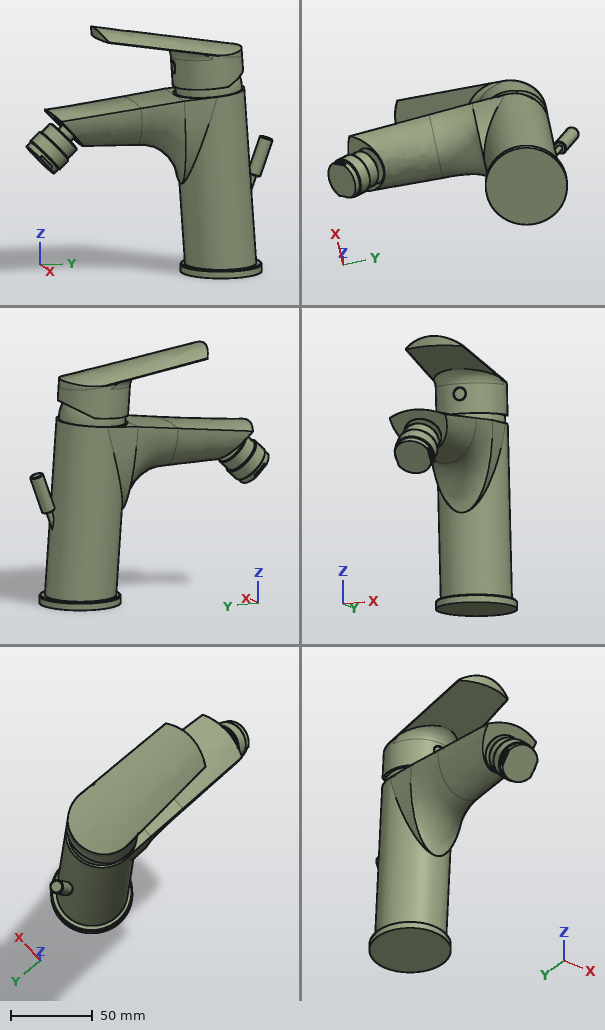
import cadquery as cq
import math

LEAN = 4.0

BASE_RADIUS = 25.0
BASE_HEIGHT = 5.0
BASE_CHAMFER = 0.8

COLUMN_RADIUS = 21.9
COLUMN_START = 2.0
COLUMN_TOP = 113.3
COLLAR_RADIUS = 20.5
DOME_CENTRE = COLUMN_TOP + 1.7
DOME_TOP = 126.0
DOME_SINK = 1.0

BLEND_START = 55.9
BLEND_END_REACH = 49.1
BLEND_END_HEIGHT = 85.3
BLEND_ANGLES = (3, 12, 25, 40, 55, 70, 90)
SPOUT_REACH = 102.8
UNDERSIDE_RISE = 6.0
SPOUT_TIP_HALF_WIDTH = 18.0
CROWN_START = 20.0
CROWN_TIP_DROP = 4.0
FLAT_CROWN = 0.02
OUTLET_FACE_ANGLE = 50.8

NOZZLE_FROM_TIP = 18.9
NECK_RADIUS = 5.4
SEAT_RADIUS = 11.7
SEAT_DEPTH = 0.6
NECK_END = 3.8
UPPER_RING_RADIUS = 11.5
UPPER_RING_END = 12.5
LOWER_RING_RADIUS = 12.5
LOWER_RING_END = 20.8
LIP_RADIUS = 11.9
LIP_END = 24.4
RING_CHAMFER = 0.6
NOTCH_WIDTH = 10.0
NOTCH_HEIGHT = 1.7
NOTCH_DEPTH = 1.2

HANDLE_BOTTOM = 118.5
HANDLE_CLEAR = 200.0
REAR_CUT_REACH = -6.7
REAR_CUT_HEIGHT = 125.3
LEVER_REACH = 70.3
LEVER_TIP_HALF_WIDTH = 18.4
LEVER_REAR_MARGIN = 0.9
LEVER_TIP_SAG = 4.0
RIDGE_AT_AXIS = 144.15
RIDGE_SLOPE = 0.25
UNDERSIDE_AT_AXIS = 139.1
UNDERSIDE_SLOPE = 0.235
LEVER_EDGE = 0.5
FLARE_START = 137.0
FLARE_RADIUS = 9.5
FLARE_RISE = 8.5
PLUG_RADIUS = 4.1
PLUG_GAP = 0.4
PLUG_HEIGHT = 130.6
PLUG_GROOVE_DEPTH = 0.6

ROD_TILT = 19.7
ROD_TOP_Y = 28.9
ROD_TOP_Z = 81.6
KNOB_RADIUS = 4.15
KNOB_LENGTH = 24.3
KNOB_CHAMFER = 0.6
ROD_RADIUS = 1.75
ROD_LENGTH = 18.0


def lean(shape):
    return shape.rotate((0, 0, 0), (1, 0, 0), LEAN)


def upright_disc(radius, bottom, top):
    return cq.Workplane("XY").workplane(offset=bottom).circle(radius).extrude(top - bottom)


def side_profile(points):
    """Outline of (reach, height) points in the plane of symmetry."""
    return cq.Workplane("YZ").polyline([(-reach, height) for reach, height in points]).close()


def spout_half_width(reach):
    return COLUMN_RADIUS + (SPOUT_TIP_HALF_WIDTH - COLUMN_RADIUS) * reach / SPOUT_REACH


def spout_section(reach, bottom):
    """Crowned top with a half-ellipse hanging below it, across the spout."""
    half_width = spout_half_width(reach)
    drop = max(CROWN_TIP_DROP * (reach - CROWN_START) / (SPOUT_REACH - CROWN_START), FLAT_CROWN)
    edge_height = COLUMN_TOP - drop
    section = cq.Workplane("XZ", origin=(0, -reach, edge_height)).moveTo(half_width, 0)
    section = section.threePointArc((0, drop), (-half_width, 0))
    section = section.ellipseArc(half_width, edge_height - bottom, 180, 360, sense=1)
    return section.wire().val()


def make_spout():
    blend_across = BLEND_END_REACH - COLUMN_RADIUS
    blend_rise = BLEND_END_HEIGHT - BLEND_START
    root = [spout_section(0, BLEND_START)]
    blend = []
    for angle in BLEND_ANGLES:
        reach = BLEND_END_REACH - blend_across * math.cos(math.radians(angle))
        bottom = BLEND_START + blend_rise * math.sin(math.radians(angle))
        blend.append(spout_section(reach, bottom))
    root.append(blend[0])
    underside_slope = math.tan(math.radians(UNDERSIDE_RISE))
    tip_bottom = BLEND_END_HEIGHT + (SPOUT_REACH - BLEND_END_REACH) * underside_slope
    tip = [blend[-1], spout_section(SPOUT_REACH, tip_bottom)]
    spout = cq.Workplane(cq.Solid.makeLoft(root, True))
    spout = spout.union(cq.Workplane(cq.Solid.makeLoft(blend, False)))
    spout = spout.union(cq.Workplane(cq.Solid.makeLoft(tip, True)))
    face_run = COLUMN_TOP / math.tan(math.radians(OUTLET_FACE_ANGLE))
    beyond_face = side_profile([
        (SPOUT_REACH, COLUMN_TOP),
        (SPOUT_REACH - face_run, 0),
        (SPOUT_REACH + face_run, 0),
        (SPOUT_REACH + face_run, COLUMN_TOP),
    ])
    return spout.cut(beyond_face.extrude(COLUMN_RADIUS, both=True))


def nozzle_plane():
    """Plane of the outlet face, with its normal along the nozzle axis and its x along X."""
    slope = math.radians(OUTLET_FACE_ANGLE)
    reach = SPOUT_REACH - NOZZLE_FROM_TIP * math.cos(slope)
    height = COLUMN_TOP - NOZZLE_FROM_TIP * math.sin(slope)
    axis = (0, -math.sin(slope), -math.cos(slope))
    return cq.Plane(origin=(0, -reach, height), xDir=(1, 0, 0), normal=axis)


def nozzle_ring(radius, start, end):
    return cq.Workplane(nozzle_plane()).workplane(offset=start).circle(radius).extrude(end - start)


def make_nozzle():
    neck = nozzle_ring(NECK_RADIUS, -SEAT_DEPTH, NECK_END)
    upper_ring = nozzle_ring(UPPER_RING_RADIUS, NECK_END, UPPER_RING_END).edges().chamfer(RING_CHAMFER)
    lower_start = UPPER_RING_END - RING_CHAMFER
    lower_ring = nozzle_ring(LOWER_RING_RADIUS, lower_start, LOWER_RING_END).edges().chamfer(RING_CHAMFER)
    lip = nozzle_ring(LIP_RADIUS, LOWER_RING_END, LIP_END)
    notches = (
        cq.Workplane(nozzle_plane()).workplane(offset=LIP_END - NOTCH_HEIGHT)
        .pushPoints([(-LIP_RADIUS, 0), (LIP_RADIUS, 0)])
        .rect(2 * NOTCH_DEPTH, NOTCH_WIDTH).extrude(NOTCH_HEIGHT)
    )
    return neck.union(upper_ring).union(lower_ring).union(lip.cut(notches))


def make_body(rod):
    column = upright_disc(COLUMN_RADIUS, COLUMN_START, COLUMN_TOP)
    spout = make_spout().cut(nozzle_ring(SEAT_RADIUS, -SEAT_DEPTH, 0))
    upper = column.union(spout).union(make_dome()).union(make_nozzle())
    base = upright_disc(BASE_RADIUS, 0, BASE_HEIGHT).faces(">Z").edges().chamfer(BASE_CHAMFER)
    return lean(upper).union(base).cut(rod)


def make_dome():
    ball = cq.Workplane("XY").sphere(COLLAR_RADIUS).translate((0, 0, DOME_CENTRE))
    return ball.intersect(upright_disc(COLUMN_RADIUS, COLUMN_TOP - DOME_SINK, DOME_TOP))


def lever_underside(reach):
    return UNDERSIDE_AT_AXIS + UNDERSIDE_SLOPE * reach


def lever_section(reach, half_width):
    ridge = RIDGE_AT_AXIS + RIDGE_SLOPE * reach
    underside = lever_underside(reach)
    section = cq.Workplane("XZ", origin=(0, -reach, 0)).moveTo(-half_width, underside)
    section = section.lineTo(-half_width, underside + LEVER_EDGE)
    section = section.threePointArc((0, ridge), (half_width, underside + LEVER_EDGE))
    return section.lineTo(half_width, underside).close().val()


def lever_outline():
    """Upright prism with the lever's plan shape: round at the back, tapered to a bowed tip."""
    corner = LEVER_REACH - LEVER_TIP_SAG
    return (
        cq.Workplane("XY").workplane(offset=HANDLE_BOTTOM).moveTo(COLUMN_RADIUS, 0)
        .lineTo(LEVER_TIP_HALF_WIDTH, -corner)
        .threePointArc((0, -LEVER_REACH), (-LEVER_TIP_HALF_WIDTH, -corner))
        .lineTo(-COLUMN_RADIUS, 0)
        .threePointArc((0, COLUMN_RADIUS), (COLUMN_RADIUS, 0)).close()
        .extrude(HANDLE_CLEAR - HANDLE_BOTTOM)
    )


def make_lever():
    sections = [
        lever_section(-COLUMN_RADIUS, COLUMN_RADIUS + LEVER_REAR_MARGIN),
        lever_section(LEVER_REACH, LEVER_TIP_HALF_WIDTH),
    ]
    blade = cq.Workplane(cq.Solid.makeLoft(sections, True))
    return blade.intersect(lever_outline())


def make_flare():
    """Concave blend around the skirt, kept where it lies under the lever."""
    half_angle = math.asin(FLARE_RISE / FLARE_RADIUS) / 2
    mid_out = FLARE_RADIUS * (1 - math.cos(half_angle))
    mid_up = FLARE_RADIUS * math.sin(half_angle)
    end_out = FLARE_RADIUS * (1 - math.cos(2 * half_angle))
    flare_top = FLARE_START + FLARE_RISE
    profile = (
        cq.Workplane("XZ").moveTo(0, FLARE_START).lineTo(COLUMN_RADIUS, FLARE_START)
        .threePointArc((COLUMN_RADIUS + mid_out, FLARE_START + mid_up), (COLUMN_RADIUS + end_out, flare_top))
        .lineTo(0, flare_top).close()
    )
    return profile.revolve(360, (0, 0, 0), (0, 1, 0)).intersect(lever_outline())


def make_handle():
    skirt = upright_disc(COLUMN_RADIUS, HANDLE_BOTTOM, HANDLE_CLEAR).union(make_flare())
    span = 2 * COLUMN_RADIUS
    above_underside = side_profile([
        (-span, lever_underside(-span)),
        (span, lever_underside(span)),
        (span, HANDLE_CLEAR),
        (-span, HANDLE_CLEAR),
    ])
    skirt = skirt.cut(above_underside.extrude(span, both=True))
    handle = skirt.union(make_lever())
    rear_cut = side_profile([
        (REAR_CUT_REACH, HANDLE_BOTTOM),
        (-COLUMN_RADIUS, REAR_CUT_HEIGHT),
        (-COLUMN_RADIUS, HANDLE_BOTTOM),
    ])
    groove = (
        cq.Workplane("XZ", origin=(0, -COLUMN_RADIUS + PLUG_GROOVE_DEPTH, PLUG_HEIGHT))
        .circle(PLUG_RADIUS).circle(PLUG_RADIUS - PLUG_GAP).extrude(COLUMN_RADIUS)
    )
    return lean(handle.cut(rear_cut.extrude(span, both=True)).cut(groove).cut(make_dome()))


def make_rod():
    knob = upright_disc(KNOB_RADIUS, -KNOB_LENGTH, 0).edges().chamfer(KNOB_CHAMFER)
    rod = knob.union(upright_disc(ROD_RADIUS, -KNOB_LENGTH - ROD_LENGTH, -KNOB_LENGTH))
    return rod.rotate((0, 0, 0), (1, 0, 0), -ROD_TILT).translate((0, ROD_TOP_Y, ROD_TOP_Z))


rod = make_rod()
body = make_body(rod)
handle = make_handle()
result = cq.Compound.makeCompound([body.solids().val(), handle.solids().val(), rod.solids().val()])